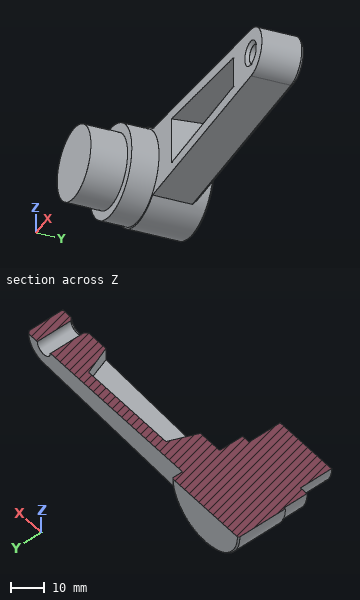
import cadquery as cq
import math

hub_diameter = 31.0
hub_length = 18.1
hub_chamfer = 0.5
collar_diameter = 30.0
collar_length = 8.9
pin_diameter = 24.0
pin_length = 12.0

arm_thickness = 14.1
arm_root_half_height = 12.0
tip_x = 79.9
tip_radius = 8.1
arm_chamfer = 1.0

tip_hole_diameter = 6.0
tip_countersink_diameter = 8.1

pocket_depth = 10.0
pocket_start_x = 23.9
pocket_end_x = 67.8
pocket_start_half_height = 7.6
pocket_end_half_height = 5.0
floor_start_x = 27.9
floor_end_x = 63.8
floor_start_half_height = 6.0
floor_end_half_height = 4.0


def plane_at(y):
    """XZ plane at the given Y, extruding toward +Y, with local Y along -Z."""
    return cq.Workplane(cq.Plane(origin=(0, y, 0), xDir=(1, 0, 0), normal=(0, 1, 0)))


def cylinder(diameter, start_y, length, x=0.0):
    return plane_at(start_y).center(x, 0).circle(diameter / 2).extrude(length)


def make_arm():
    """Tapered bar with straight sides tangent to its round tip."""
    reach = math.hypot(tip_x, arm_root_half_height)
    taper = math.atan2(arm_root_half_height, tip_x) - math.asin(tip_radius / reach)
    tangent_x = tip_x + tip_radius * math.sin(taper)
    tangent_z = tip_radius * math.cos(taper)
    arm = (
        plane_at(0)
        .moveTo(0, -arm_root_half_height)
        .lineTo(tangent_x, -tangent_z)
        .threePointArc((tip_x + tip_radius, 0), (tangent_x, tangent_z))
        .lineTo(0, arm_root_half_height)
        .close()
        .extrude(arm_thickness)
    )
    back_edges = arm.faces(">Y").edges("not <X")
    return back_edges.chamfer(arm_chamfer)


def trapezoid(start_x, end_x, start_half_height, end_half_height):
    return [
        (start_x, -start_half_height),
        (end_x, -end_half_height),
        (end_x, end_half_height),
        (start_x, start_half_height),
    ]


def make_pocket():
    """Trapezoidal recess whose four walls slope inward to a smaller floor."""
    opening = trapezoid(pocket_start_x, pocket_end_x, pocket_start_half_height, pocket_end_half_height)
    floor = trapezoid(floor_start_x, floor_end_x, floor_start_half_height, floor_end_half_height)
    return (
        plane_at(0)
        .polyline(opening)
        .close()
        .workplane(offset=pocket_depth)
        .polyline(floor)
        .close()
        .loft(ruled=True)
    )


def make_countersink():
    """45 degree cone at the front mouth of the tip hole."""
    depth = (tip_countersink_diameter - tip_hole_diameter) / 2
    cone = cq.Solid.makeCone(
        tip_countersink_diameter / 2,
        tip_hole_diameter / 2,
        depth,
        pnt=cq.Vector(tip_x, 0, 0),
        dir=cq.Vector(0, 1, 0),
    )
    return cq.Workplane(cone)


hub = cylinder(hub_diameter, 0, hub_length).faces(">Y").chamfer(hub_chamfer)
collar = cylinder(collar_diameter, -collar_length, collar_length)
pin = cylinder(pin_diameter, -collar_length - pin_length, pin_length)
tip_hole = cylinder(tip_hole_diameter, 0, arm_thickness, tip_x)

result = (
    make_arm()
    .union(hub)
    .union(collar)
    .union(pin)
    .cut(make_pocket())
    .cut(tip_hole)
    .cut(make_countersink())
)